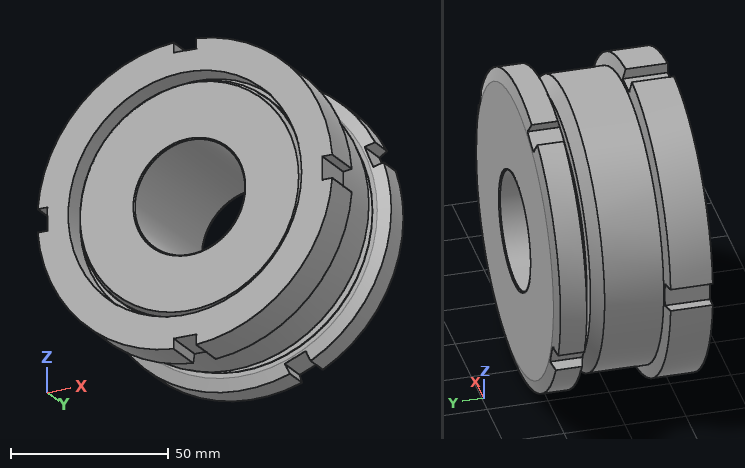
import cadquery as cq


flange_radius = 52.5
bevel_radius = 48.1
slot_width = 8.0
slot_depth = 3.7
slot_count = 4

housing_length = 38.1
housing_rim_length = 13.9
housing_bevel = 1.2
sleeve_radius = bevel_radius
sleeve_chamfer = 3.7
recess_radius = 41.5
recess_depth = 8.4
thread_radius = 39.9

plug_front = 3.2
plug_rear = 51.3
plug_front_chamfer = 1.0
plug_front_chamfer_length = 2.1
plug_flange_front = 40.2
plug_flange_bevel = 1.3
neck_radius = 38.5
neck_length = 1.5
relief_radius = 46.4
relief_depth = 0.2
bore_radius = 19.5
bore_chamfer = 0.4
plug_slot_angle = 22.7


def turned(outline):
    """Solid of revolution about Y from a list of (radius, Y) points."""
    return cq.Workplane("XY").polyline(outline).close().revolve(360, (0, 0, 0), (0, 1, 0))


def cut_spanner_slots(body, front, rear, turn):
    """Cut equally spaced slots along the rim between two Y positions."""
    floor_radius = flange_radius - slot_depth
    cutter_height = 2 * slot_depth
    cutter = cq.Workplane("XY").box(slot_width, rear - front, cutter_height)
    cutter = cutter.translate((0, (front + rear) / 2, floor_radius + cutter_height / 2))
    for index in range(slot_count):
        angle = turn + index * 360 / slot_count
        body = body.cut(cutter.rotate((0, 0, 0), (0, 1, 0), angle))
    return body


def make_housing():
    flange_end = housing_rim_length + housing_bevel
    outline = [
        (recess_radius, 0),
        (flange_radius, 0),
        (flange_radius, housing_rim_length),
        (bevel_radius, flange_end),
        (sleeve_radius, housing_length - sleeve_chamfer),
        (sleeve_radius - sleeve_chamfer, housing_length),
        (thread_radius, housing_length),
        (thread_radius, recess_depth),
        (recess_radius, recess_depth),
    ]
    return cut_spanner_slots(turned(outline), 0, flange_end, 0)


def make_plug():
    neck_front = plug_flange_front - neck_length
    neck_chamfer = thread_radius - neck_radius
    outline = [
        (bore_radius + bore_chamfer, plug_front),
        (thread_radius - plug_front_chamfer, plug_front),
        (thread_radius, plug_front + plug_front_chamfer_length),
        (thread_radius, neck_front - neck_chamfer),
        (neck_radius, neck_front),
        (neck_radius, plug_flange_front + relief_depth),
        (relief_radius, plug_flange_front + relief_depth),
        (relief_radius, plug_flange_front),
        (bevel_radius, plug_flange_front),
        (flange_radius, plug_flange_front + plug_flange_bevel),
        (flange_radius, plug_rear - plug_flange_bevel),
        (bevel_radius, plug_rear),
        (bore_radius + bore_chamfer, plug_rear),
        (bore_radius, plug_rear - bore_chamfer),
        (bore_radius, plug_front + bore_chamfer),
    ]
    return cut_spanner_slots(turned(outline), plug_flange_front, plug_rear, -plug_slot_angle)


housing = make_housing()
plug = make_plug()

result = cq.Compound.makeCompound([housing.val(), plug.val()])